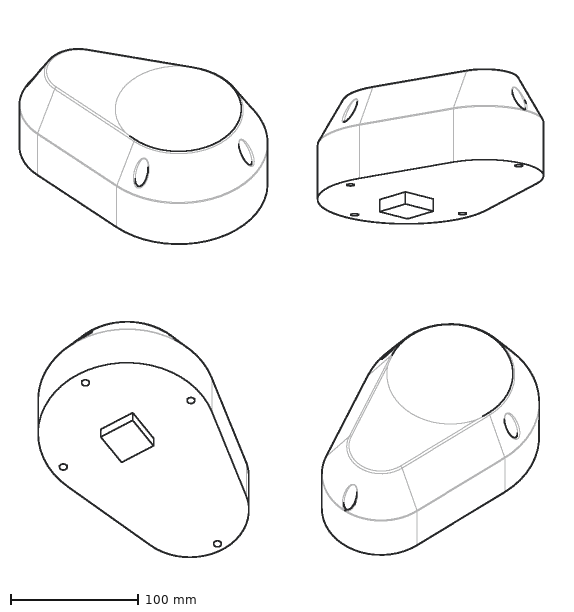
import cadquery as cq
import math

overall_length = 206.5
large_radius = 70.0
small_radius = 46.5
center_spacing = overall_length - large_radius - small_radius
housing_height = 80.2
wall_height = 44.2
slope_inset = 20.0
edge_fillet = 2.0

selection_margin = 0.2

dish_radius = large_radius - slope_inset
dish_depth = 2.5

boss_width = 30.0
boss_height = 10.0

screw_diameter = 6.0
head_diameter = 10.1
seat_height = 20.0
large_end_rim_fillet = 1.0
small_end_rim_fillet = 0.8
large_end_pitch_radius = 60.0
small_end_pitch_radius = 39.7
large_end_screws = [
    (large_end_pitch_radius, 0),
    (0, large_end_pitch_radius),
    (0, -large_end_pitch_radius),
]
small_end_screw = (-center_spacing - small_end_pitch_radius, 0)


def make_housing():
    tangent_cos = (large_radius - small_radius) / center_spacing
    tangent_sin = math.sqrt(1 - tangent_cos**2)
    large_x, large_y = -large_radius * tangent_cos, large_radius * tangent_sin
    small_x, small_y = -center_spacing - small_radius * tangent_cos, small_radius * tangent_sin
    housing = (
        cq.Workplane("XY")
        .moveTo(small_x, small_y)
        .lineTo(large_x, large_y)
        .threePointArc((large_radius, 0), (large_x, -large_y))
        .lineTo(small_x, -small_y)
        .threePointArc((-center_spacing - small_radius, 0), (small_x, small_y))
        .close()
        .extrude(housing_height)
    )
    housing = housing.faces(">Z").edges().chamfer(housing_height - wall_height, slope_inset)
    wall_top = cq.selectors.BoxSelector(
        (-overall_length, -overall_length, wall_height - selection_margin),
        (overall_length, overall_length, wall_height + selection_margin),
    )
    housing = housing.edges(wall_top).fillet(edge_fillet)
    return housing.faces(">Z").edges().fillet(edge_fillet)


def cut_dish(body):
    sphere_radius = (dish_radius**2 + dish_depth**2) / (2 * dish_depth)
    sphere_center_z = housing_height - dish_depth + sphere_radius
    return body.cut(cq.Workplane("XY", origin=(0, 0, sphere_center_z)).sphere(sphere_radius))


def cut_screw_hole(body, position, rim_fillet):
    hole_plane = cq.Workplane("XY").center(*position)
    body = body.cut(hole_plane.circle(screw_diameter / 2).extrude(housing_height))
    head_plane = hole_plane.workplane(offset=seat_height)
    body = body.cut(head_plane.circle(head_diameter / 2).extrude(housing_height))
    x, y = position
    reach = head_diameter / 2 + selection_margin
    rim = cq.selectors.BoxSelector(
        (x - reach, y - reach, wall_height),
        (x + reach, y + reach, housing_height),
        boundingbox=True,
    )
    return body.edges("not |Z").edges(rim).fillet(rim_fillet)


housing = cut_dish(make_housing())
for screw_position in large_end_screws:
    housing = cut_screw_hole(housing, screw_position, large_end_rim_fillet)
housing = cut_screw_hole(housing, small_end_screw, small_end_rim_fillet)
boss = cq.Workplane("XY").rect(boss_width, boss_width).extrude(-boss_height)
result = housing.union(boss)